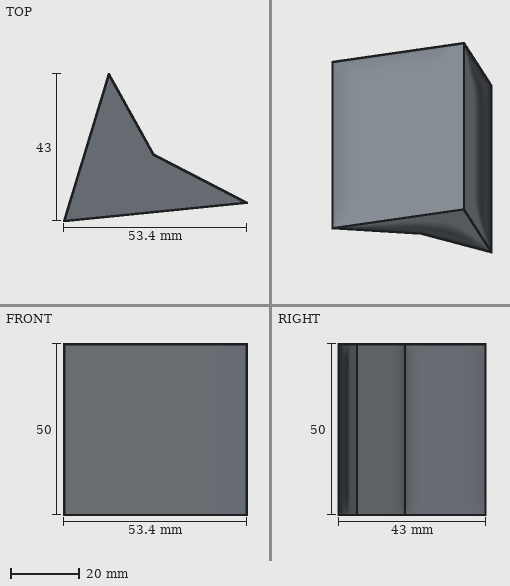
import cadquery as cq

width = 53.42
depth = 43.0
height = 50.0

right_tip_y = 5.38
upper_tip_x = 13.1
notch_x = 26.15
notch_y = 19.48

outline = [
    (0, 0),
    (width, right_tip_y),
    (notch_x, notch_y),
    (upper_tip_x, depth),
]

result = cq.Workplane("XY").polyline(outline).close().extrude(height)